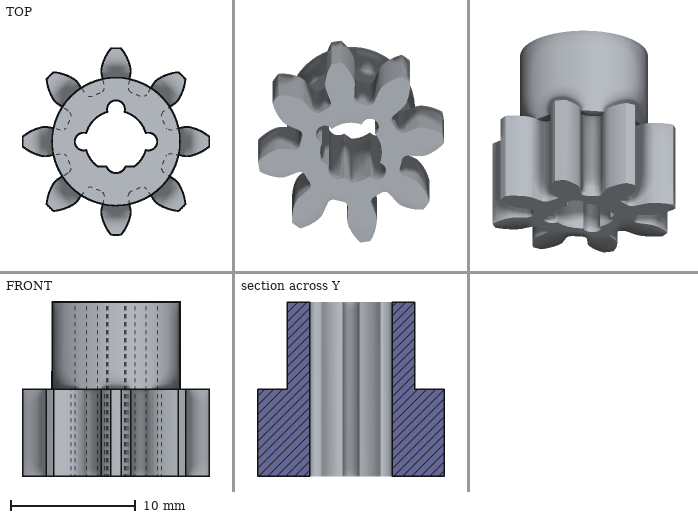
import cadquery as cq
import math

module = 1.5
tooth_count = 8
pressure_angle = math.radians(20)
root_fillet = 0.5
gear_height = 7.0

pitch_radius = module * tooth_count / 2
tip_radius = pitch_radius + module
root_radius = pitch_radius - 1.25 * module
base_radius = pitch_radius * math.cos(pressure_angle)
flank_joint_radius = 6.15

hub_diameter = 10.28
total_height = 14.0

bore_diameter = 4.95
flat_distance = 1.98
slot_diameter = 1.41
slot_reach = 3.3
slot_angles = (0, 90, 180)
groove_diameter = 1.62
groove_reach = 2.52


def involute(angle):
    return math.tan(angle) - angle


def half_tooth_angle(radius):
    """Angle from the middle of a tooth to its involute flank at the given radius."""
    roll_angle = math.acos(base_radius / radius)
    return math.pi / (2 * tooth_count) + involute(pressure_angle) - involute(roll_angle)


def polar(radius, angle):
    return (radius * math.cos(angle), radius * math.sin(angle))


base_angle = half_tooth_angle(base_radius)
fillet_center_radius = root_radius + root_fillet
fillet_span = math.asin(root_fillet / fillet_center_radius)
fillet_top_radius = fillet_center_radius * math.cos(fillet_span)
root_angle = base_angle + fillet_span


def fillet_middle(side):
    """Point of the root fillet halfway between the flank and the root circle."""
    center_x, center_y = polar(fillet_center_radius, side * root_angle)
    toward_root = side * root_angle + math.pi
    toward_flank = side * (base_angle - math.pi / 2)
    mean_x = math.cos(toward_root) + math.cos(toward_flank)
    mean_y = math.sin(toward_root) + math.sin(toward_flank)
    stretch = root_fillet / math.hypot(mean_x, mean_y)
    return (center_x + stretch * mean_x, center_y + stretch * mean_y)


def make_tooth():
    """One tooth along +X, reaching down to the gear axis."""

    def flank_point(radius, side):
        return polar(radius, side * half_tooth_angle(radius))

    lower_middle = (base_radius + flank_joint_radius) / 2
    upper_middle = (flank_joint_radius + tip_radius) / 2
    return (
        cq.Workplane("XY")
        .lineTo(*polar(root_radius, -root_angle))
        .threePointArc(fillet_middle(-1), polar(fillet_top_radius, -base_angle))
        .lineTo(*flank_point(base_radius, -1))
        .threePointArc(flank_point(lower_middle, -1), flank_point(flank_joint_radius, -1))
        .threePointArc(flank_point(upper_middle, -1), flank_point(tip_radius, -1))
        .threePointArc((tip_radius, 0), flank_point(tip_radius, 1))
        .threePointArc(flank_point(upper_middle, 1), flank_point(flank_joint_radius, 1))
        .threePointArc(flank_point(lower_middle, 1), flank_point(base_radius, 1))
        .lineTo(*polar(fillet_top_radius, base_angle))
        .threePointArc(fillet_middle(1), polar(root_radius, root_angle))
        .close()
        .extrude(gear_height)
    )


def make_gear():
    gear = cq.Workplane("XY").circle(root_radius).extrude(gear_height)
    tooth = make_tooth()
    for index in range(tooth_count):
        gear = gear.union(tooth.rotate((0, 0, 0), (0, 0, 1), index * 360 / tooth_count))
    return gear


def make_hub():
    hub_height = total_height - gear_height
    return cq.Workplane("XY", origin=(0, 0, gear_height)).circle(hub_diameter / 2).extrude(hub_height)


def make_bore():
    """Through opening: flatted bore, round slots at both sides and +Y, groove at -Y."""
    keep_above_flat = (
        cq.Workplane("XY")
        .center(0, bore_diameter / 2 - flat_distance)
        .rect(bore_diameter, bore_diameter)
        .extrude(total_height)
    )
    bore = cq.Workplane("XY").circle(bore_diameter / 2).extrude(total_height).intersect(keep_above_flat)

    slot_center = slot_reach - slot_diameter / 2
    slot = cq.Workplane("XY").center(slot_center, 0).circle(slot_diameter / 2).extrude(total_height)
    for angle in slot_angles:
        bore = bore.union(slot.rotate((0, 0, 0), (0, 0, 1), angle))

    groove_center = groove_reach - groove_diameter / 2
    groove = cq.Workplane("XY").center(0, -groove_center).circle(groove_diameter / 2).extrude(total_height)
    return bore.union(groove)


result = make_gear().union(make_hub()).cut(make_bore())